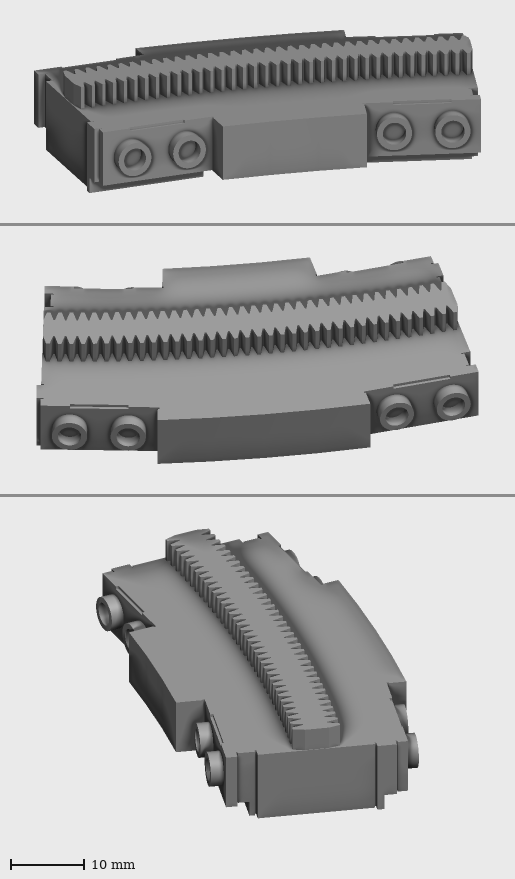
import cadquery as cq
import math

module = 8.0
track_radius = 25 * module
turn_angle = math.asin(7 / 25)
turn_center = (track_radius, 0.0)

deck_height = 7.8
foot_height = 2.2
rack_height = 3.2

deck_half_width = 15.9
end_half_width = 12.6
end_length = 2 * module
foot_half_width = 9.2
foot_length = 16.1
foot_wall = 1.2

joint_offset = 9.6
slot_width = 2.8
slot_depth = 0.9
tab_width = 2.7
tab_height = 0.6
relief_width = 0.2
relief_depth = 0.4
side_relief_width = 0.3
side_relief_depth = 0.2

stud_diameter = 4.8
stud_bore = 3.2
stud_length = 1.8
stud_positions = (module / 2, 3 * module / 2)
edge_notch_width = 0.4
edge_notch_height = 0.4

tooth_count = 36
tooth_tip_offset = 3.3
tooth_root_offset = 1.65
tip_fraction = 0.3
root_fraction = 0.12


def polar(radius, angle):
    """Point at a radius and travelled angle around the turn centre."""
    x = turn_center[0] - radius * math.cos(angle)
    y = turn_center[1] + radius * math.sin(angle)
    return (x, y)


def block(x_min, x_max, y_min, y_max, z_min, z_max):
    """Axis-aligned box given by its limits."""
    box = cq.Workplane("XY").box(x_max - x_min, y_max - y_min, z_max - z_min, centered=False)
    return box.translate((x_min, y_min, z_min))


def place_front(shape):
    """Move an end shape, whose outward direction is +Y, to the front end."""
    return shape.rotate((0, 0, 0), (0, 0, 1), 180)


def place_rear(shape):
    """Move an end shape, whose outward direction is +Y, to the rear end."""
    turned = shape.rotate((0, 0, 0), (0, 0, 1), -math.degrees(turn_angle))
    rear_x, rear_y = polar(track_radius, turn_angle)
    return turned.translate((rear_x, rear_y, 0))


def curved_band():
    """Deck slab between the two side arcs and the two end planes."""
    outer = track_radius + deck_half_width
    inner = track_radius - deck_half_width
    half = turn_angle / 2
    return (
        cq.Workplane("XY")
        .moveTo(*polar(outer, 0))
        .threePointArc(polar(outer, half), polar(outer, turn_angle))
        .lineTo(*polar(inner, turn_angle))
        .threePointArc(polar(inner, half), polar(inner, 0))
        .close()
        .extrude(deck_height)
    )


def side_cutters():
    """Side steps, corner reliefs and top edge notches on both sides of an end."""
    top = deck_height
    bottom = -foot_height
    wall = end_half_width
    step = block(wall, 2 * deck_half_width, -end_length, module, bottom, top)
    relief_end = -end_length - side_relief_depth
    relief = block(wall, wall + side_relief_width, relief_end, -end_length, bottom, top)
    near_stud, far_stud = stud_positions
    notch = block(
        wall - edge_notch_width, wall, -far_stud, -near_stud, top - edge_notch_height, top
    )
    one_side = step.union(relief).union(notch)
    return one_side.union(one_side.mirror("YZ"))


def groove(x_start, width, depth):
    """Full-height groove cut straight into an end face."""
    return block(x_start, x_start + width, -depth, 0, -foot_height, deck_height)


def joint_cutters():
    """Slot with its two corner reliefs, and the two reliefs beside the tab."""
    slot_start = joint_offset - slot_width / 2
    slot_end = slot_start + slot_width
    tab_start = -joint_offset - tab_width / 2
    tab_end = tab_start + tab_width
    slot_relief_depth = slot_depth + relief_depth
    cutter = groove(slot_start, slot_width, slot_depth)
    cutter = cutter.union(groove(slot_start, relief_width, slot_relief_depth))
    cutter = cutter.union(groove(slot_end - relief_width, relief_width, slot_relief_depth))
    cutter = cutter.union(groove(tab_start - relief_width, relief_width, relief_depth))
    return cutter.union(groove(tab_end, relief_width, relief_depth))


def end_tab():
    """Tab that enters the slot of the next segment; below the deck it stops at the foot side."""
    tab_start = -joint_offset - tab_width / 2
    tab_end = tab_start + tab_width
    upper = block(tab_start, tab_end, -relief_depth, tab_height, 0, deck_height)
    lower = block(-foot_half_width, tab_end, -relief_depth, tab_height, -foot_height, 0)
    return upper.union(lower)


def end_foot():
    """U-shaped rim under an end block, open toward the middle of the part."""
    rim = block(-foot_half_width, foot_half_width, -foot_length, 0, -foot_height, 0)
    inside = foot_half_width - foot_wall
    return rim.cut(block(-inside, inside, -foot_length, -foot_wall, -foot_height, 0))


def end_studs():
    """Two hollow studs on each side of an end block."""
    studs = None
    for side in (-1, 1):
        for position in stud_positions:
            stud = (
                cq.Workplane("YZ", origin=(side * end_half_width, -position, deck_height / 2))
                .circle(stud_diameter / 2)
                .circle(stud_bore / 2)
                .extrude(side * stud_length)
            )
            studs = stud if studs is None else studs.union(stud)
    return studs


def flank_points(side):
    """Tooth outline along one flank, from the front end to the rear end."""
    pitch = turn_angle / tooth_count
    tip = track_radius + side * tooth_tip_offset
    root = track_radius + side * tooth_root_offset
    half_root = root_fraction * pitch / 2
    half_tip = tip_fraction * pitch / 2
    points = []
    for tooth in range(tooth_count):
        start = tooth * pitch
        middle = start + pitch / 2
        points.append(polar(root, start + half_root))
        points.append(polar(tip, middle - half_tip))
        points.append(polar(tip, middle + half_tip))
        points.append(polar(root, start + pitch - half_root))
    return points


def rack():
    """Double-sided rack on the deck, half a root flat short of each end face."""
    outline = flank_points(1) + flank_points(-1)[::-1]
    return (
        cq.Workplane("XY", origin=(0, 0, deck_height))
        .polyline(outline)
        .close()
        .extrude(rack_height)
    )


result = curved_band()
for place in (place_front, place_rear):
    result = result.union(place(end_foot()))
    result = result.cut(place(side_cutters()))
    result = result.cut(place(joint_cutters()))
    result = result.union(place(end_tab()))
    result = result.union(place(end_studs()))
result = result.union(rack())